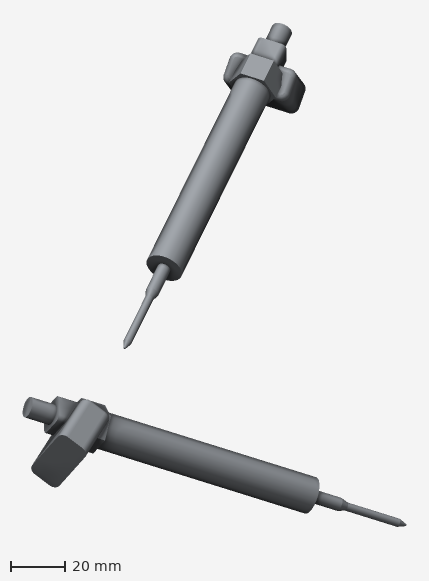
import cadquery as cq
import math

total_length = 158.5
rear_y = total_length / 2

spigot_length = 10.0
spigot_diameter = 8.0
collar_length = 10.0
collar_width = 11.4
collar_corner_radius = 2.0
hex_length = 10.0
hex_across_flats = 16.2
barrel_length = 88.5
barrel_diameter = 14.1

rod_length = 12.0
rod_diameter = 5.0
shoulder_length = 2.9
needle_diameter = 3.2
tip_length = 3.2
tip_end_diameter = 0.8

block_width = 26.3
block_depth = 12.7
block_height = 23.3
block_lean = 26.0
block_corner_radius = 3.0
block_top_radius = 2.0
block_drop = 23.1
block_setback = 18.7

collar_rear_y = rear_y - spigot_length
hex_rear_y = collar_rear_y - collar_length
barrel_rear_y = hex_rear_y - hex_length
barrel_front_y = barrel_rear_y - barrel_length
rod_front_y = barrel_front_y - rod_length
needle_rear_y = rod_front_y - shoulder_length
tip_front_y = -total_length / 2
needle_front_y = tip_front_y + tip_length


def section_plane(y):
    """Plane across the axis at y, extruding towards -Y."""
    return cq.Workplane("XZ", origin=(0, y, 0))


def make_collar():
    collar = section_plane(collar_rear_y).rect(collar_width, collar_width).extrude(collar_length)
    return collar.edges("|Y").fillet(collar_corner_radius)


def make_hex():
    across_corners = hex_across_flats / math.cos(math.radians(30))
    return section_plane(hex_rear_y).polygon(6, across_corners).extrude(hex_length)


def make_needle():
    """Rod, tapered shoulder, thin needle and blunt cone turned about the Y axis."""
    profile = [
        (0, barrel_front_y),
        (rod_diameter / 2, barrel_front_y),
        (rod_diameter / 2, rod_front_y),
        (needle_diameter / 2, needle_rear_y),
        (needle_diameter / 2, needle_front_y),
        (tip_end_diameter / 2, tip_front_y),
        (0, tip_front_y),
    ]
    return cq.Workplane("XY").polyline(profile).close().revolve(360, (0, 0, 0), (0, 1, 0))


def make_block():
    """Rounded block, leaning forwards about its lower front edge."""
    block = cq.Workplane("XY").box(
        block_width, block_depth, block_height, centered=(True, False, False)
    )
    block = block.edges("|Z").fillet(block_corner_radius)
    block = block.faces(">Z").edges().fillet(block_top_radius)
    block = block.rotate((0, 0, 0), (1, 0, 0), block_lean)
    return block.translate((0, rear_y - block_setback, -block_drop))


spigot = section_plane(rear_y).circle(spigot_diameter / 2).extrude(spigot_length)
barrel = section_plane(barrel_rear_y).circle(barrel_diameter / 2).extrude(barrel_length)

result = (
    spigot.union(make_collar())
    .union(make_hex())
    .union(barrel)
    .union(make_needle())
    .union(make_block())
)